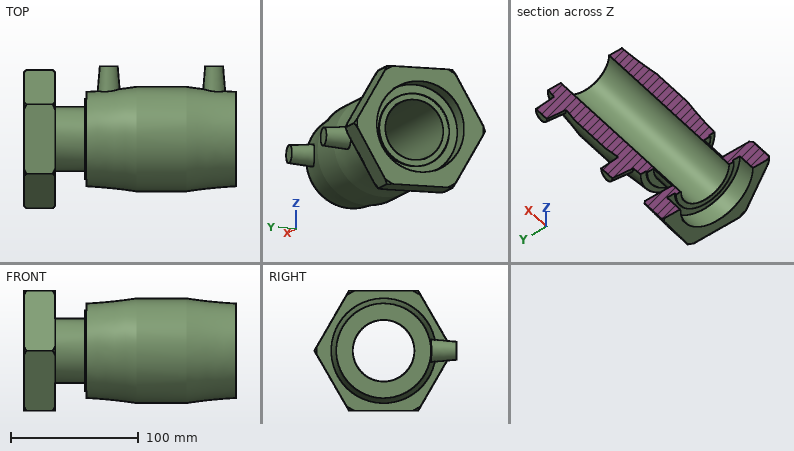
import cadquery as cq
import math

total_length = 166.0
nut_width = 24.5
collar_start = 47.5
body_start = 49.0
body_section = (total_length - body_start) / 3

nut_across_flats = 93.8
nut_across_corners = nut_across_flats / math.cos(math.pi / 6)
corner_chamfer = 2.0
nut_bore_diameter = 72.2
nut_bore_depth = 16.3

bore_diameter = 48.0
seat_diameter = 57.8
seat_height = 1.7
neck_diameter = 50.6
collar_diameter = 63.0
body_end_diameter = 74.0
body_diameter = 82.0
flank_sag = 0.5

terminal_positions = (66.4, 148.7)
terminal_top = 57.1
terminal_base = 37.5
terminal_root = 33.2
terminal_top_diameter = 14.3
terminal_base_diameter = 17.6


def cylinder_x(diameter, start, end):
    """Cylinder on the X axis between two stations."""
    return cq.Workplane("YZ", origin=(start, 0, 0)).circle(diameter / 2).extrude(end - start)


def make_nut():
    """Hexagon with flats facing +Z and -Z, its corners trimmed conically at both faces."""
    hexagon = cq.Workplane("YZ").polygon(6, nut_across_corners).extrude(nut_width)
    envelope = cylinder_x(nut_across_corners, 0, nut_width).faces("<X or >X").chamfer(corner_chamfer)
    return hexagon.intersect(envelope)


def make_body():
    """Barrel with a straight middle and a slightly hollow flank at each end."""
    end_radius = body_end_diameter / 2
    middle_radius = body_diameter / 2
    flank_radius = (end_radius + middle_radius) / 2 - flank_sag
    rise_end = body_start + body_section
    fall_start = total_length - body_section
    return (
        cq.Workplane("XY")
        .moveTo(body_start, 0)
        .lineTo(body_start, end_radius)
        .threePointArc((body_start + body_section / 2, flank_radius), (rise_end, middle_radius))
        .lineTo(fall_start, middle_radius)
        .threePointArc((total_length - body_section / 2, flank_radius), (total_length, end_radius))
        .lineTo(total_length, 0)
        .close()
        .revolve(360, (0, 0, 0), (1, 0, 0))
    )


def make_terminal(position):
    """Tapered pin pointing along +Y, widening toward the body."""
    taper = (terminal_base_diameter - terminal_top_diameter) / 2 / (terminal_top - terminal_base)
    height = terminal_top - terminal_root
    top_radius = terminal_top_diameter / 2
    root_radius = top_radius + taper * height
    cone = cq.Solid.makeCone(
        root_radius, top_radius, height, cq.Vector(position, terminal_root, 0), cq.Vector(0, 1, 0)
    )
    return cq.Workplane(obj=cone)


result = make_nut()
result = result.union(cylinder_x(neck_diameter, nut_width, collar_start))
result = result.union(cylinder_x(collar_diameter, collar_start, body_start))
result = result.union(make_body())
for terminal_position in terminal_positions:
    result = result.union(make_terminal(terminal_position))

result = result.cut(cylinder_x(nut_bore_diameter, 0, nut_bore_depth))
result = result.union(cylinder_x(seat_diameter, nut_bore_depth - seat_height, nut_bore_depth))
result = result.cut(cylinder_x(bore_diameter, 0, total_length))